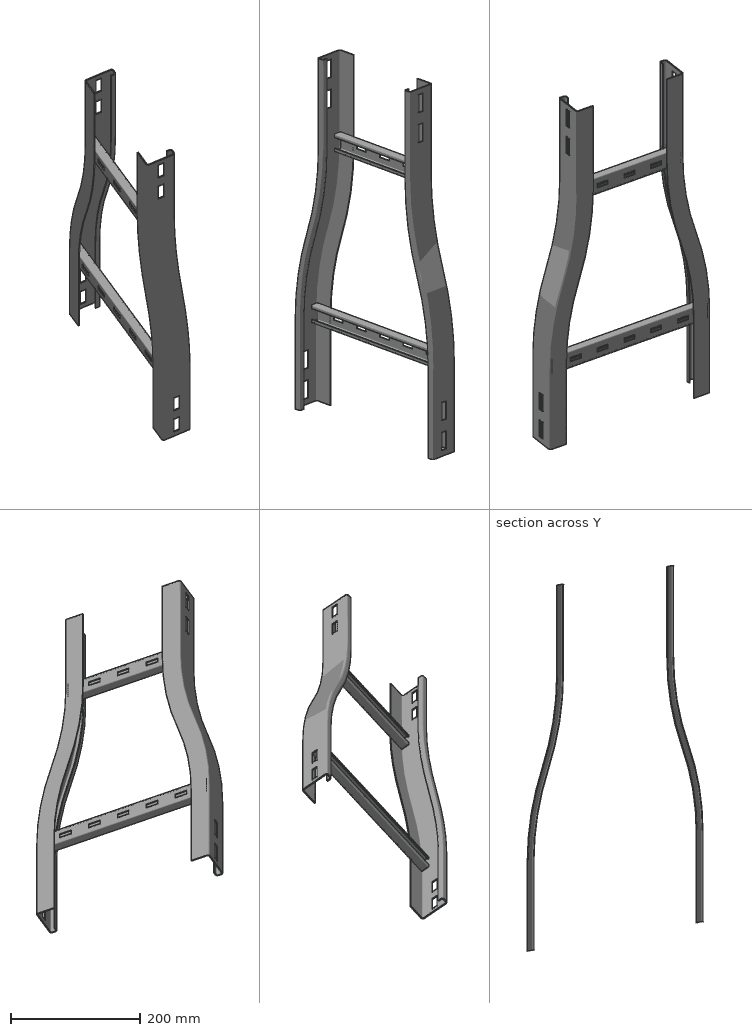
import cadquery as cq
import math

total_height = 600.0
wide_width = 300.0
narrow_width = wide_width * 2 / 3
rail_depth = total_height / 12
sheet = 2.0

front_flange = 31.0
back_flange = 12.5
lip_depth = 9.0
rail_bend_radius = 3.9

straight_length = total_height / 4
bend_rise = total_height / 4
bend_shift = (wide_width - narrow_width) / 4
half_bend_angle = math.atan(bend_shift / bend_rise)

joint_slot_length = 30.0
joint_slot_width = 9.5
joint_slot_places = (total_height / 24, total_height / 8)

rung_height = 30.0
rung_depth = 15.0
rung_lip = 6.0
rung_bend_radius = 2.2
rung_end_gap = 5.0
rung_slot_length = 20.0
rung_slot_width = 7.0
rung_slot_pitch = total_height / 12
low_rung_z = straight_length
high_rung_z = total_height - straight_length

front_y = -rail_depth / 2
back_y = rail_depth / 2


def vertices_at(face, places):
    """The vertices of the face that lie at the given places."""
    tolerance = sheet / 10
    return [v for v in face.Vertices() if any((v.Center() - p).Length < tolerance for p in places)]


def bent_sheet_face(outer_points, bend_radius, plane):
    """Face of a sheet whose outer side follows right-angled points that all turn the same way."""
    points = [cq.Vector(x, y, 0) for x, y in outer_points]
    runs = [(end - start).normalized() for start, end in zip(points, points[1:])]
    corners = points[1:-1]
    inner_corners = [
        corner + (run_out - run_in) * sheet
        for corner, run_in, run_out in zip(corners, runs, runs[1:])
    ]
    inner_start = points[0] + runs[1] * sheet
    inner_end = points[-1] - runs[-2] * sheet
    outline = points + [inner_end] + inner_corners[::-1] + [inner_start]
    face = cq.Face.makeFromWires(cq.Wire.makePolygon(outline, close=True))
    face = face.fillet2D(bend_radius, vertices_at(face, corners))
    face = face.fillet2D(bend_radius - sheet, vertices_at(face, inner_corners))
    return face.moved(plane.location)


def rail_path():
    """Bottom-to-top line of the left rail's outer side."""
    wide_x = -wide_width / 2
    narrow_x = -narrow_width / 2
    middle = (wide_x + bend_shift, total_height / 2)
    arc_radius = bend_rise / math.sin(2 * half_bend_angle)
    arc_mid_shift = arc_radius * (1 - math.cos(half_bend_angle))
    arc_mid_rise = arc_radius * math.sin(half_bend_angle)
    bend_start_z = straight_length
    bend_end_z = total_height - straight_length
    return (
        cq.Workplane("XZ")
        .moveTo(wide_x, 0)
        .lineTo(wide_x, bend_start_z)
        .threePointArc((wide_x + arc_mid_shift, bend_start_z + arc_mid_rise), middle)
        .threePointArc((narrow_x - arc_mid_shift, bend_end_z - arc_mid_rise), (narrow_x, bend_end_z))
        .lineTo(narrow_x, total_height)
    )


def make_left_rail():
    """Lipped C section swept along the rail path, with joint slots at both ends."""
    outer_x = -wide_width / 2
    section = bent_sheet_face(
        [
            (outer_x + back_flange, back_y - lip_depth),
            (outer_x + back_flange, back_y),
            (outer_x, back_y),
            (outer_x, front_y),
            (outer_x + front_flange, front_y),
        ],
        rail_bend_radius,
        cq.Plane.XY(),
    )
    rail = cq.Workplane(cq.Solid.sweep(section.outerWire(), [], rail_path().wire().val()))
    low_places = [(outer_x, z) for z in joint_slot_places]
    high_places = [(-narrow_width / 2, total_height - z) for z in joint_slot_places]
    cutter = cq.Workplane().box(back_flange, joint_slot_width, joint_slot_length)
    for x, z in low_places + high_places:
        rail = rail.cut(cutter.translate((x, 0, z)))
    return rail


def make_rung(rail_spacing, z, slot_count):
    """Rung between rails whose outer sides are rail_spacing apart, centred at height z."""
    half_length = rail_spacing / 2 - rung_end_gap
    web_y = front_y + sheet
    lip_y = web_y + rung_depth
    top_z = z + rung_height / 2
    bottom_z = z - rung_height / 2
    section = bent_sheet_face(
        [
            (lip_y, top_z - rung_lip),
            (lip_y, top_z),
            (web_y, top_z),
            (web_y, bottom_z),
            (lip_y, bottom_z),
            (lip_y, bottom_z + rung_lip),
        ],
        rung_bend_radius,
        cq.Plane.YZ(),
    )
    bar = cq.Solid.extrudeLinear(section, cq.Vector(2 * half_length, 0, 0))
    rung = cq.Workplane(bar).translate((-half_length, 0, 0))
    cutter = cq.Workplane().box(rung_slot_length, 4 * sheet, rung_slot_width)
    for index in range(slot_count):
        slot_x = (index - (slot_count - 1) / 2) * rung_slot_pitch
        rung = rung.cut(cutter.translate((slot_x, web_y, z)))
    return rung


left_rail = make_left_rail()
right_rail = left_rail.mirror("YZ")
low_rung = make_rung(wide_width, low_rung_z, 5)
high_rung = make_rung(narrow_width, high_rung_z, 3)

result = cq.Compound.makeCompound(
    [left_rail.val(), right_rail.val(), low_rung.val(), high_rung.val()]
)